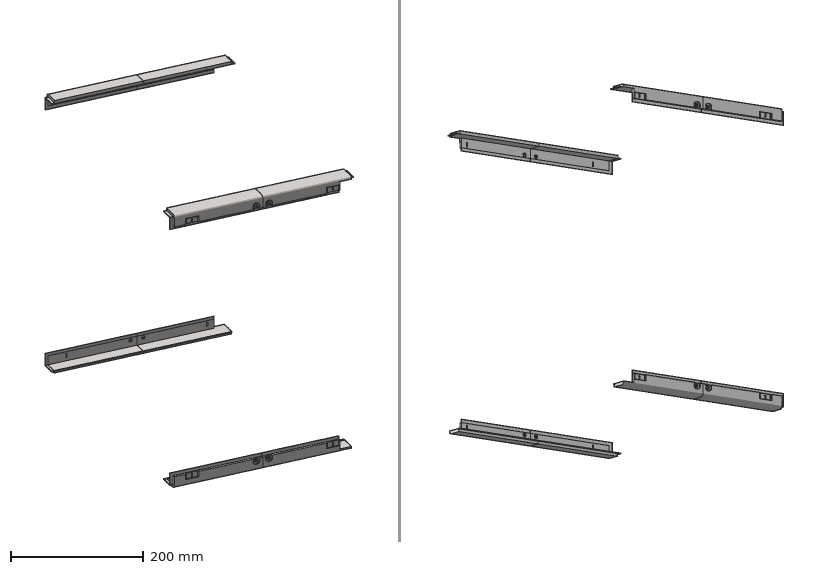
import cadquery as cq

width = 445.0
depth = 307.5
height = 465.0

skin = 4.0
liner = 1.0
corner_radius = 5.0
leg_x = 27.0
leg_z = 25.0
side_margin = 5.0
base_margin = 2.5
end_lip = 5.0

hole_y = 10.5
hole_z = 16.0
hole_diameter = 5.0
counterbore_diameter = 11.0
counterbore_depth = 2.0

window_y = 118.0
window_z = 10.5
window_length = 22.5
floor_length = 18.5
mouth_depth = 1.0
floor_depth = 2.0
slot_width = 2.0
slot_height = 6.5

half_depth = depth / 2
wall = skin + liner
skin_z = leg_z - side_margin
skin_end = half_depth - end_lip
rear_leg_end = window_y + window_length / 2


def block(x0, x1, y0, y1, z0, z1):
    """Box between opposite corners."""
    return cq.Workplane("XY").box(x1 - x0, y1 - y0, z1 - z0, centered=False).translate((x0, y0, z0))


def angle(offset, thickness, reach_x, reach_z, length):
    """L section starting at y = 0, set in from the outer corner by the offset."""
    outer = block(offset, reach_x, 0, length, offset, reach_z)
    inner = block(offset + thickness, reach_x, 0, length, offset + thickness, reach_z)
    return outer.cut(inner)


def half_rail(upper, rear):
    """Half of one rail with its outer corner at x = z = 0 and its legs along +X and +Z."""
    skin_x = leg_x if upper else leg_x - base_margin
    body = angle(0, skin, skin_x, skin_z, skin_end)
    body = body.edges("|Y and <X and <Z").fillet(corner_radius)
    body = body.union(angle(skin, liner, leg_x, leg_z, half_depth))
    body = body.cut(counterbored_hole()).cut(window())
    if rear:
        body = body.cut(block(0, wall, rear_leg_end, half_depth, wall, leg_z))
        if not upper:
            body = body.cut(block(0, leg_x, skin_end, half_depth, 0, leg_z))
    return body


def counterbored_hole():
    """Screw hole through the upright leg, counterbored from its outer face."""
    face = cq.Workplane("YZ", origin=(0, hole_y, hole_z))
    bore = face.circle(hole_diameter / 2).extrude(wall)
    counterbore = face.circle(counterbore_diameter / 2).extrude(counterbore_depth)
    return bore.union(counterbore)


def centered_on_window(length, depth_in, z_end):
    """Block cut into the outer face, centred along Y on the window."""
    return block(0, depth_in, window_y - length / 2, window_y + length / 2, window_z, z_end)


def window():
    """Two-step recess open at the skin's edge, with a narrow slot in its floor."""
    mouth = centered_on_window(window_length, mouth_depth, skin_z)
    floor = centered_on_window(floor_length, floor_depth, skin_z)
    slot = centered_on_window(slot_width, skin, window_z + slot_height)
    return mouth.union(floor).union(slot)


def place(body, right, upper, rear):
    """Mirror a half rail into its corner of the envelope; the halves meet at y = 0."""
    if not rear:
        body = body.mirror("XZ")
    if upper:
        body = body.mirror("XY").translate((0, 0, height))
    if right:
        body = body.mirror("YZ").translate((width, 0, 0))
    return body


rails = [
    place(half_rail(upper, rear), right, upper, rear).val()
    for right in (False, True)
    for upper in (False, True)
    for rear in (False, True)
]
result = cq.Compound.makeCompound(rails)